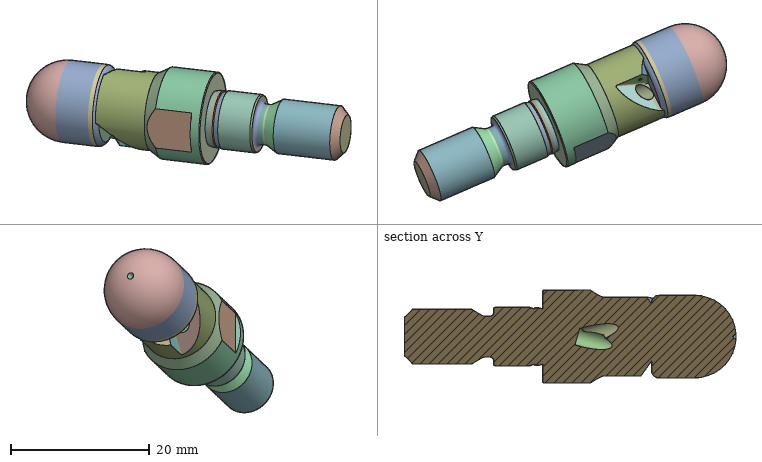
import cadquery as cq
import math


nose_radius = 6.0
nose_length = 12.25
nose_taper_start = 10.9
nose_taper_end = 11.5
nose_taper_depth = 0.05
nose_rear_radius = 5.25
tip_dimple_depth = 0.5
neck_radius = 5.7
neck_start = nose_radius
nose_neck_joint = 11.9

collar_radius = 13.5 / 2
collar_cone_angle = 30
collar_cone_start = 19.3
collar_end = 28.0
collar_chamfer = 0.15
flat_distance = nose_radius
flat_end = 26.55

relief_radius = 4.2
relief_start = 28.6
relief_end = 29.1
groove_radius = 4.05
groove_start = 29.25
land_radius = 4.25
land_start = 29.95
land_end = 35.1
land_chamfer_length = 0.3
land_chamfer_depth = 0.15
waist_radius = 3.0
waist_start = 35.6
waist_fillet = waist_start - land_end
waist_cone_angle = 30
waist_cone_fillet = 0.6
shank_radius = 4.0
shank_start = 38.25
total_length = 48.0
end_chamfer = 1.2

notch_start = nose_taper_end
notch_shift = 0.85
notch_wall_y = 0.75
notch_floor_angle = 40
notch_floor_top_x = 17.5
notch_bend_x = 12.8
notch_bend_angle = 34
notch_corner_fillet = 0.2

undercut_end_y = -1.35
undercut_top_x = 13.3
undercut_slope = 1.4
undercut_lean = 0.52

bore_radius = 1.25
bore_entry_x = 13.55
bore_entry_y = 2.2
bore_meeting_x = 22.1

wall_dimple_radius = 0.3
wall_dimple_x = 13.55
wall_dimple_z = 4.05

clearance = 2.4
pick_reach = 0.05


def revolve_about_x(profile):
    return profile.close().revolve(360, (0, 0, 0), (1, 0, 0))


def ball_nose():
    """Hemisphere and short cylinder with a conical dimple in the tip, tapered and rounded at the rear."""
    tip_sag = nose_radius - math.sqrt(nose_radius**2 - tip_dimple_depth**2)
    nose_center = nose_radius - tip_sag
    diagonal = nose_radius * math.sqrt(0.5)
    profile = (
        cq.Workplane("XY")
        .moveTo(tip_dimple_depth, 0)
        .lineTo(0, tip_dimple_depth)
        .threePointArc((nose_center - diagonal, diagonal), (nose_center, nose_radius))
        .lineTo(nose_taper_start, nose_radius)
        .lineTo(nose_taper_end, nose_radius - nose_taper_depth)
        .threePointArc((nose_neck_joint, neck_radius), (nose_length, nose_rear_radius))
        .lineTo(nose_length, 0)
    )
    return revolve_about_x(profile)


def shaft():
    """Neck, collar and stem in one turned piece."""
    collar_cone_length = (collar_radius - neck_radius) / math.tan(math.radians(collar_cone_angle))
    waist_cone_length = (shank_radius - waist_radius) / math.tan(math.radians(waist_cone_angle))
    waist_end = shank_start - waist_cone_length
    profile = (
        cq.Workplane("XY")
        .moveTo(neck_start, 0)
        .lineTo(neck_start, neck_radius)
        .lineTo(collar_cone_start, neck_radius)
        .lineTo(collar_cone_start + collar_cone_length, collar_radius)
        .lineTo(collar_end - collar_chamfer, collar_radius)
        .lineTo(collar_end, collar_radius - collar_chamfer)
        .lineTo(collar_end, groove_radius)
        .lineTo(relief_start, relief_radius)
        .lineTo(relief_end, relief_radius)
        .lineTo(groove_start, groove_radius)
        .lineTo(land_start, land_radius)
        .lineTo(land_end - land_chamfer_length, land_radius)
        .lineTo(land_end, land_radius - land_chamfer_depth)
        .lineTo(land_end, waist_radius + waist_fillet)
        .radiusArc((waist_start, waist_radius), -waist_fillet)
        .lineTo(waist_end, waist_radius)
        .lineTo(shank_start, shank_radius)
        .lineTo(total_length - end_chamfer, shank_radius)
        .lineTo(total_length, shank_radius - end_chamfer)
        .lineTo(total_length, 0)
    )
    waist_edge = cq.selectors.BoxSelector(
        (waist_end - pick_reach, -shank_radius, -shank_radius),
        (waist_end + pick_reach, shank_radius, shank_radius),
    )
    return revolve_about_x(profile).edges(waist_edge).fillet(waist_cone_fillet)


def wrench_flat(side):
    depth = collar_radius - flat_distance + clearance
    length = flat_end - collar_cone_start
    center = (collar_cone_start + length / 2, side * (flat_distance + depth / 2), 0)
    return cq.Workplane("XY").box(length, depth, 2 * collar_radius).translate(center)


def floor_height(x, shift):
    """Height of the straight part of the notch floor at x."""
    return neck_radius - (notch_floor_top_x + shift - x) * math.tan(math.radians(notch_floor_angle))


def notch(shift):
    """Bent-floor wedge on one side of the notch wall, rounded where the floor meets the wall."""
    bend_z = floor_height(notch_bend_x, shift)
    start_z = bend_z - (notch_bend_x - notch_start) * math.tan(math.radians(notch_bend_angle))
    top_z = neck_radius + clearance
    top_x = notch_floor_top_x + shift + clearance / math.tan(math.radians(notch_floor_angle))
    outline = [(notch_start, start_z), (notch_bend_x, bend_z), (top_x, top_z), (notch_start, top_z)]
    width = neck_radius + clearance
    wedge = cq.Workplane("XZ", origin=(0, notch_wall_y, 0)).polyline(outline).close().extrude(-width)
    floor_corner = cq.selectors.BoxSelector(
        (notch_bend_x, notch_wall_y - pick_reach, bend_z),
        (top_x, notch_wall_y + pick_reach, top_z - pick_reach),
    )
    return wedge.edges(floor_corner).fillet(notch_corner_fillet)


def undercut_section(y, shift):
    """Triangle between the nose and the leaning undercut floor at the given y."""
    top_z = neck_radius + clearance
    lean = undercut_lean * (y - notch_wall_y)
    top_x = undercut_top_x + shift + lean + clearance / undercut_slope
    bottom_z = top_z - (top_x - notch_start) * undercut_slope
    points = [(notch_start, bottom_z), (top_x, top_z), (notch_start, top_z)]
    return cq.Wire.makePolygon([cq.Vector(x, y, z) for x, z in points], close=True)


def undercut(shift):
    sections = [undercut_section(y, shift) for y in (undercut_end_y, notch_wall_y)]
    return cq.Workplane(cq.Solid.makeLoft(sections, True))


def angled_bore(shift):
    """Bore from just outside the notch floor, aimed at the axis and ending there."""
    entry = cq.Vector(bore_entry_x + shift, bore_entry_y, floor_height(bore_entry_x + shift, shift))
    meeting = cq.Vector(bore_meeting_x + shift, 0, 0)
    path = meeting - entry
    start = entry - path.normalized() * clearance
    return cq.Workplane(cq.Solid.makeCylinder(bore_radius, path.Length + clearance, start, path))


def wall_dimple(shift):
    center = cq.Vector(wall_dimple_x + shift, notch_wall_y, wall_dimple_z)
    cone = cq.Solid.makeCone(wall_dimple_radius, 0, wall_dimple_radius, center, cq.Vector(0, -1, 0))
    return cq.Workplane(cone)


body = shaft()
for side in (-1, 1):
    body = body.cut(wrench_flat(side))
for turn, shift in ((0, 0), (180, notch_shift)):
    for tool in (notch(shift), undercut(shift), angled_bore(shift), wall_dimple(shift)):
        body = body.cut(tool.rotate((0, 0, 0), (1, 0, 0), turn))

result = body.union(ball_nose())